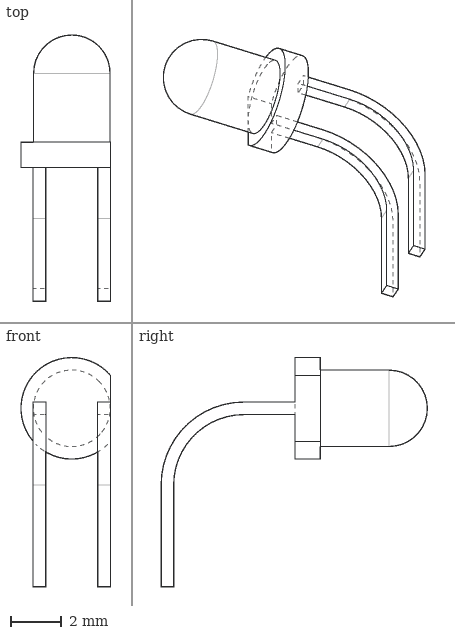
import cadquery as cq

body_radius = 1.5
body_length = 2.7
flange_radius = 2.0
flange_thickness = 1.0

lead_width = 0.5
lead_pitch = 2.54
lead_straight = 2.0
bend_outer_radius = 3.25
lead_bottom_z = -7.0

bend_inner_radius = bend_outer_radius - lead_width
flat_x = lead_pitch / 2 + lead_width / 2


def make_lens():
    """Revolve the stepped body with its domed tip about the Y axis."""
    shoulder_y = flange_thickness + body_length
    return (
        cq.Workplane("XY")
        .lineTo(flange_radius, 0)
        .lineTo(flange_radius, flange_thickness)
        .lineTo(body_radius, flange_thickness)
        .lineTo(body_radius, shoulder_y)
        .radiusArc((0, shoulder_y + body_radius), -body_radius)
        .close()
        .revolve(360, (0, 0, 0), (0, 1, 0))
    )


def make_flat_cutter():
    """Block that removes the flange's +X edge."""
    return cq.Workplane("XY").box(
        flange_radius, flange_thickness, 2 * flange_radius, centered=(False, False, True)
    ).translate((flat_x, 0, 0))


def make_lead(center_x):
    """Bent lead whose back end meets the flange face at Y = 0."""
    top_z = lead_width / 2
    bend_y = -lead_straight
    bend_z = top_z - bend_outer_radius
    outer_y = bend_y - bend_outer_radius
    inner_y = bend_y - bend_inner_radius
    return (
        cq.Workplane("YZ", origin=(center_x, 0, 0))
        .moveTo(0, top_z)
        .lineTo(bend_y, top_z)
        .radiusArc((outer_y, bend_z), -bend_outer_radius)
        .lineTo(outer_y, lead_bottom_z)
        .lineTo(inner_y, lead_bottom_z)
        .lineTo(inner_y, bend_z)
        .radiusArc((bend_y, -top_z), bend_inner_radius)
        .lineTo(0, -top_z)
        .close()
        .extrude(lead_width / 2, both=True)
    )


result = make_lens().cut(make_flat_cutter())
for side in (-1, 1):
    result = result.union(make_lead(side * lead_pitch / 2))